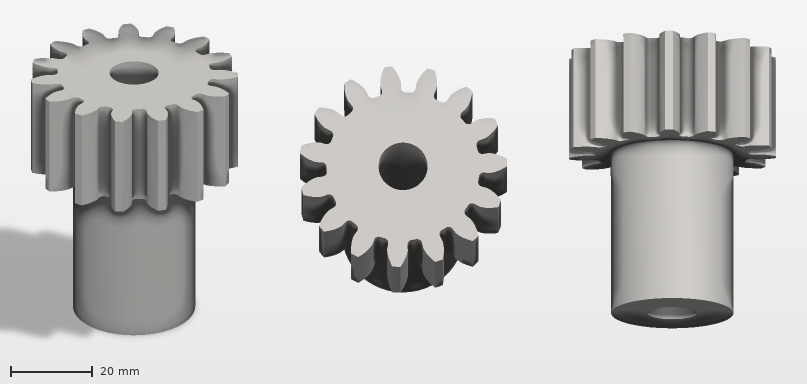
import cadquery as cq
import math

total_length = 65.0
face_width = 25.0
shaft_diameter = 30.0
bore_diameter = 12.0

tooth_count = 15
tip_diameter = 51.0
pressure_angle = math.radians(20)
dedendum_factor = 1.25
root_fillet = 1.2
flank_points = 8

module = tip_diameter / (tooth_count + 2)
pitch_radius = module * tooth_count / 2
base_radius = pitch_radius * math.cos(pressure_angle)
tip_radius = tip_diameter / 2
root_radius = pitch_radius - dedendum_factor * module
tooth_pitch = 2 * math.pi / tooth_count
first_tooth_angle = -math.pi / 2


def polar(radius, angle):
    return (radius * math.cos(angle), radius * math.sin(angle))


def involute(angle):
    return math.tan(angle) - angle


def half_tooth_angle(radius):
    """Half the angle a tooth spans at a radius on or outside the base circle."""
    half_angle_at_pitch = tooth_pitch / 4
    return half_angle_at_pitch + involute(pressure_angle) - involute(math.acos(base_radius / radius))


def spaced_flank_radii():
    """Radii from base to tip, closer together near the base circle where the flank curves most."""
    steps = flank_points - 1
    return [base_radius + (tip_radius - base_radius) * (i / steps) ** 2 for i in range(flank_points)]


base_half_angle = half_tooth_angle(base_radius)
tip_half_angle = half_tooth_angle(tip_radius)
fillet_center_radius = root_radius + root_fillet
fillet_angle = math.asin(root_fillet / fillet_center_radius)
fillet_top_radius = math.sqrt(fillet_center_radius**2 - root_fillet**2)
fillet_end_angle = base_half_angle + fillet_angle


def fillet_midpoint():
    """Radius and angle from the tooth center line of the middle of a root fillet."""
    center_x, center_y = polar(fillet_center_radius, fillet_end_angle)
    fillet_sweep = math.pi / 2 - fillet_angle
    direction_to_root = fillet_end_angle + math.pi
    offset_x, offset_y = polar(root_fillet, direction_to_root + fillet_sweep / 2)
    middle_x = center_x + offset_x
    middle_y = center_y + offset_y
    return math.hypot(middle_x, middle_y), math.atan2(middle_y, middle_x)


def gear_outline():
    flank_radii = spaced_flank_radii()
    fillet_mid_radius, fillet_mid_angle = fillet_midpoint()

    outline = cq.Workplane("XY").workplane(offset=total_length - face_width)
    outline = outline.moveTo(*polar(root_radius, first_tooth_angle - fillet_end_angle))
    for tooth in range(tooth_count):
        center = first_tooth_angle + tooth * tooth_pitch
        outward_flank = [polar(r, center - half_tooth_angle(r)) for r in flank_radii]
        inward_flank = [polar(r, center + half_tooth_angle(r)) for r in reversed(flank_radii)]
        outline = (
            outline.threePointArc(
                polar(fillet_mid_radius, center - fillet_mid_angle),
                polar(fillet_top_radius, center - base_half_angle),
            )
            .lineTo(*outward_flank[0])
            .spline(outward_flank[1:], includeCurrent=True)
            .threePointArc(polar(tip_radius, center), polar(tip_radius, center + tip_half_angle))
            .spline(inward_flank[1:], includeCurrent=True)
            .lineTo(*polar(fillet_top_radius, center + base_half_angle))
            .threePointArc(
                polar(fillet_mid_radius, center + fillet_mid_angle),
                polar(root_radius, center + fillet_end_angle),
            )
            .threePointArc(
                polar(root_radius, center + tooth_pitch / 2),
                polar(root_radius, center + tooth_pitch - fillet_end_angle),
            )
        )
    return outline.close()


gear = gear_outline().extrude(face_width)
shaft = cq.Workplane("XY").circle(shaft_diameter / 2).extrude(total_length)
bore = cq.Workplane("XY").circle(bore_diameter / 2).extrude(total_length)

result = gear.union(shaft).cut(bore)